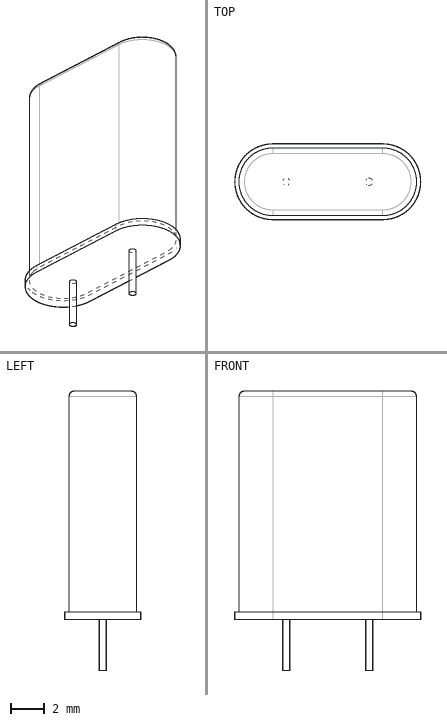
import cadquery as cq

total_height = 16.5
arc_center_spacing = 6.48

flange_width = 4.49
flange_thickness = 0.46
can_width = 4.0
can_top_fillet = 0.33

pin_length = 3.0
pin_diameter = 0.43
pin_spacing = 4.88

can_height = total_height - pin_length - flange_thickness


def make_stadium(width, height, base_z):
    """Upright prism with straight sides along X and full-round ends."""
    return (
        cq.Workplane("XY", origin=(0, 0, base_z))
        .slot2D(arc_center_spacing + width, width)
        .extrude(height)
    )


def make_housing():
    """Can with a rounded top edge standing on a wider flange, underside at Z = 0."""
    flange = make_stadium(flange_width, flange_thickness, 0)
    can = make_stadium(can_width, can_height, flange_thickness)
    can = can.faces(">Z").edges().fillet(can_top_fillet)
    return flange.union(can)


def make_pin(x):
    """Straight round lead hanging from the underside of the flange."""
    return (
        cq.Workplane("XY", origin=(x, 0, 0))
        .circle(pin_diameter / 2)
        .extrude(-pin_length)
    )


housing = make_housing()
pins = [make_pin(side * pin_spacing / 2) for side in (-1, 1)]

result = cq.Compound.makeCompound([housing.val(), *[pin.val() for pin in pins]])